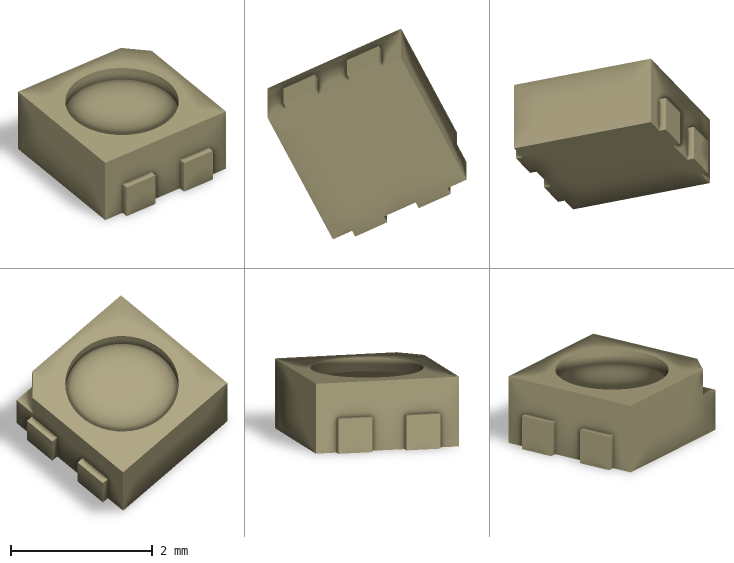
import cadquery as cq

overall_length = 2.3
housing_side = 2.1
housing_height = 1.0
recess_diameter = 1.6
recess_depth = 0.2
corner_cut_leg = 0.313
corner_cut_depth = 0.4
lead_width = 0.5

half_side = housing_side / 2
lead_thickness = (overall_length - housing_side) / 2
lead_height = housing_height / 2
lead_pitch = 2 * lead_width
lead_offset_x = half_side + lead_thickness / 2


def make_housing():
    """Square housing with a round top recess and a cut polarity corner."""
    block = cq.Workplane("XY").box(
        housing_side, housing_side, housing_height, centered=(True, True, False)
    )
    recess = (
        cq.Workplane("XY", origin=(0, 0, housing_height))
        .circle(recess_diameter / 2)
        .extrude(-recess_depth)
    )
    corner_notch = (
        cq.Workplane("XY", origin=(-half_side, half_side, housing_height))
        .polyline([(0, 0), (corner_cut_leg, 0), (0, -corner_cut_leg)])
        .close()
        .extrude(-corner_cut_depth)
    )
    return block.cut(recess).cut(corner_notch)


def make_lead(side_x, side_y):
    """Lead block resting against the -X or +X face of the housing."""
    return (
        cq.Workplane("XY", origin=(side_x * lead_offset_x, side_y * lead_pitch / 2, 0))
        .box(lead_thickness, lead_width, lead_height, centered=(True, True, False))
    )


housing = make_housing()
leads = [make_lead(side_x, side_y) for side_x in (-1, 1) for side_y in (-1, 1)]

result = cq.Compound.makeCompound([housing.val(), *(lead.val() for lead in leads)])